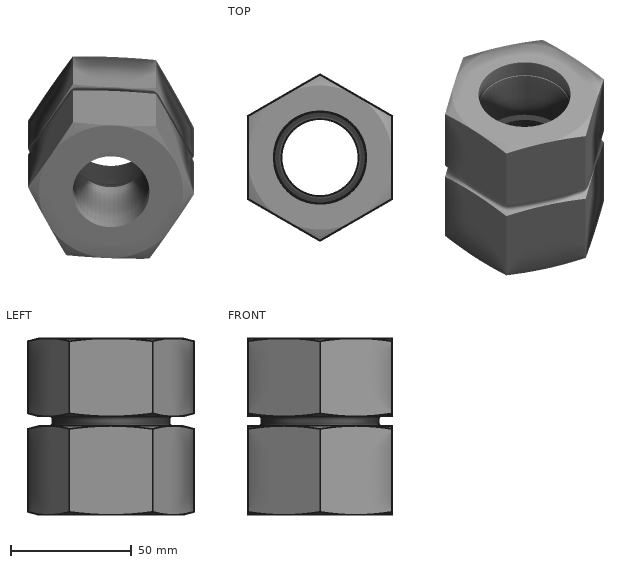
import cadquery as cq
import math


across_flats = 60.0
across_corners = across_flats / math.cos(math.radians(30))
hex_chamfer_angle = 15.0

body_hex_height = 37.0
gap_height = 4.0
nut_height = 32.5
nut_bottom_z = body_hex_height + gap_height
nut_top_z = nut_bottom_z + nut_height
ring_length = 13.0
nut_mouth_depth = 0.3
nut_bore_depth = 7.5
ring_clearance = 0.25
nut_bore_bottom_z = nut_top_z - nut_bore_depth
ring_top_z = nut_bore_bottom_z - ring_clearance
ring_tip_z = ring_top_z - ring_length
spigot_length = 22.0
spigot_top_z = body_hex_height + spigot_length
tube_socket_depth = 16.0
tube_stop_z = spigot_top_z - tube_socket_depth

flow_bore = 32.0
tube_socket = 38.25
ring_bore = 38.0
nut_bore = 38.3
nut_mouth = 38.4
cone_mouth = 41.2
ring_collar = 44.0
thread_relief = 49.0
thread = 52.0

relief_fillet = 1.0
relief_straight = 2.1
relief_straight_bottom_z = body_hex_height + relief_fillet
relief_straight_top_z = relief_straight_bottom_z + relief_straight
relief_top_z = relief_straight_top_z + relief_fillet

seal_half_angle = 12.0
seal_length = spigot_top_z - ring_tip_z
cone_tip = cone_mouth - 2 * seal_length * math.tan(math.radians(seal_half_angle))
ring_collar_top_z = nut_bore_bottom_z - (ring_collar - nut_bore) / 2
ring_top = nut_bore + 2 * ring_clearance


def revolve_profile(profile):
    """Turn a closed (radius, height) profile around Z."""
    return profile.close().revolve(360, (0, 0, 0), (0, 1, 0))


def cylinder(diameter, bottom_z, top_z):
    return cq.Workplane("XY").workplane(offset=bottom_z).circle(diameter / 2).extrude(top_z - bottom_z)


def chamfered_hexagon(bottom_z, height):
    """Hexagonal prism with flats facing X and corners turned to a shallow cone at both ends."""
    face_radius = across_flats / 2
    corner_radius = across_corners / 2
    drop = (corner_radius - face_radius) * math.tan(math.radians(hex_chamfer_angle))
    top_z = bottom_z + height
    prism = (
        cq.Workplane("XY").workplane(offset=bottom_z)
        .polygon(6, across_corners).extrude(height)
        .rotate((0, 0, 0), (0, 0, 1), 30)
    )
    envelope = revolve_profile(
        cq.Workplane("XZ")
        .moveTo(0, bottom_z)
        .lineTo(face_radius, bottom_z)
        .lineTo(corner_radius, bottom_z + drop)
        .lineTo(corner_radius, top_z - drop)
        .lineTo(face_radius, top_z)
        .lineTo(0, top_z)
    )
    return prism.intersect(envelope)


def make_spigot():
    """Externally threaded end of the body, with the relief groove at its root."""
    relief_radius = thread_relief / 2
    groove_edge_radius = relief_radius + relief_fillet
    return revolve_profile(
        cq.Workplane("XZ")
        .moveTo(0, body_hex_height)
        .lineTo(groove_edge_radius, body_hex_height)
        .radiusArc((relief_radius, relief_straight_bottom_z), relief_fillet)
        .lineTo(relief_radius, relief_straight_top_z)
        .radiusArc((groove_edge_radius, relief_top_z), relief_fillet)
        .lineTo(thread / 2, relief_top_z)
        .lineTo(thread / 2, spigot_top_z)
        .lineTo(0, spigot_top_z)
    )


def make_body():
    """Hexagonal body with a threaded spigot, a tube socket and a narrower flow bore."""
    sealing_cone = revolve_profile(
        cq.Workplane("XZ")
        .moveTo(0, ring_tip_z)
        .lineTo(cone_tip / 2, ring_tip_z)
        .lineTo(cone_mouth / 2, spigot_top_z)
        .lineTo(0, spigot_top_z)
    )
    return (
        chamfered_hexagon(0, body_hex_height)
        .union(make_spigot())
        .cut(cylinder(flow_bore, 0, spigot_top_z))
        .cut(cylinder(tube_socket, tube_stop_z, spigot_top_z))
        .cut(sealing_cone)
    )


def make_cutting_ring():
    """Ring with a sealing cone below its collar and a conical shoulder above it."""
    return revolve_profile(
        cq.Workplane("XZ")
        .moveTo(ring_bore / 2, ring_tip_z)
        .lineTo(cone_tip / 2, ring_tip_z)
        .lineTo(cone_mouth / 2, spigot_top_z)
        .lineTo(ring_collar / 2, spigot_top_z)
        .lineTo(ring_collar / 2, ring_collar_top_z)
        .lineTo(ring_top / 2, ring_top_z)
        .lineTo(ring_bore / 2, ring_top_z)
    )


def make_nut():
    """Union nut whose bore opens into a cone that presses on the ring shoulder."""
    tube_passage = revolve_profile(
        cq.Workplane("XZ")
        .moveTo(0, spigot_top_z)
        .lineTo(ring_collar / 2, spigot_top_z)
        .lineTo(ring_collar / 2, ring_collar_top_z)
        .lineTo(nut_bore / 2, nut_bore_bottom_z)
        .lineTo(nut_bore / 2, nut_top_z - nut_mouth_depth)
        .lineTo(nut_mouth / 2, nut_top_z)
        .lineTo(0, nut_top_z)
    )
    return (
        chamfered_hexagon(nut_bottom_z, nut_height)
        .cut(cylinder(thread, nut_bottom_z, spigot_top_z))
        .cut(tube_passage)
    )


body = make_body()
cutting_ring = make_cutting_ring()
nut = make_nut()

result = cq.Compound.makeCompound([body.val(), cutting_ring.val(), nut.val()])